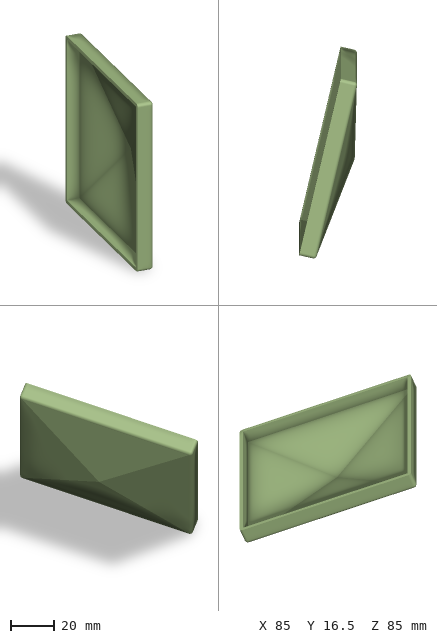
import cadquery as cq

side = 85.0
total_depth = 16.5
rim_depth = 8.0
edge_radius = 1.5
wall = 1.8

open_face_y = -total_depth / 2

cavity_side = side - 2 * wall
cavity_rim_depth = rim_depth - wall
cavity_total_depth = total_depth - wall

roof_side = side - 2 * edge_radius


def square_block(width, depth):
    """Square block growing from the open face towards +Y."""
    return cq.Workplane("XZ", origin=(0, open_face_y, 0)).rect(width, width).extrude(-depth)


def flat_face(points):
    """Flat face bounded by straight edges through the points."""
    return cq.Face.makeFromWires(cq.Wire.makePolygon(points, close=True))


def square_pyramid(width, base_depth, peak_depth):
    """Square pyramid peaking towards +Y; both depths are counted from the open face."""
    half = width / 2
    base_y = open_face_y + base_depth
    peak = cq.Vector(0, open_face_y + peak_depth, 0)
    corners = [
        cq.Vector(-half, base_y, -half),
        cq.Vector(half, base_y, -half),
        cq.Vector(half, base_y, half),
        cq.Vector(-half, base_y, half),
    ]
    faces = [flat_face(corners)]
    for index, corner in enumerate(corners):
        faces.append(flat_face([corners[index - 1], corner, peak]))
    return cq.Workplane(obj=cq.Solid.makeSolid(cq.Shell.makeShell(faces)))


rim = square_block(side, rim_depth)
rim = rim.edges("|Y or >Y").fillet(edge_radius)

roof = square_pyramid(roof_side, rim_depth, total_depth)

cavity = square_block(cavity_side, cavity_rim_depth)
cavity = cavity.union(square_pyramid(cavity_side, cavity_rim_depth, cavity_total_depth))

result = rim.union(roof).cut(cavity)